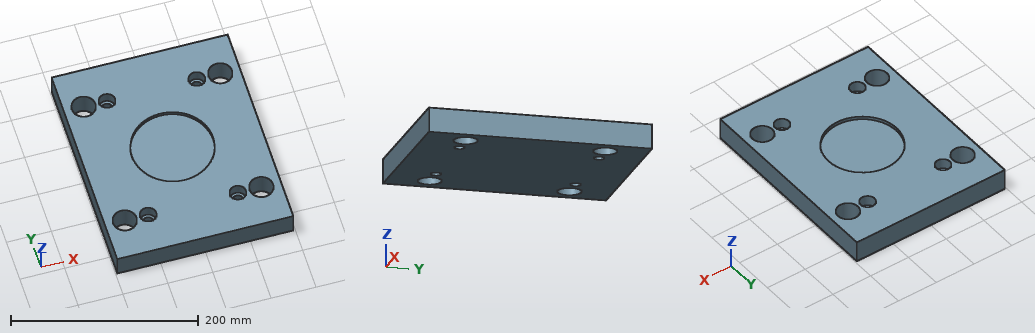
import cadquery as cq

width = 196.0
length = 246.0
thickness = 27.0

recess_diameter = 90.0
recess_depth = 4.0

row_offset_y = 77.0
guide_offset_x = 76.0
guide_diameter = 26.0
screw_offset_x = 50.0
screw_diameter = 11.0
head_diameter = 18.0
head_depth = 13.0


def mirrored_points(offset_x, offset_y):
    """Four points placed symmetrically about the plate centre."""
    return [(sx * offset_x, sy * offset_y) for sx in (-1, 1) for sy in (-1, 1)]


def top_face(body):
    """Workplane on the top face, centred on the plate."""
    return body.faces(">Z").workplane(origin=(0, 0, thickness))


plate = cq.Workplane("XY").box(width, length, thickness, centered=(True, True, False))

plate = top_face(plate).circle(recess_diameter / 2).cutBlind(-recess_depth)

plate = top_face(plate).pushPoints(mirrored_points(guide_offset_x, row_offset_y)).hole(guide_diameter)

screw_points = mirrored_points(screw_offset_x, row_offset_y)
plate = top_face(plate).pushPoints(screw_points).cboreHole(screw_diameter, head_diameter, head_depth)

result = plate